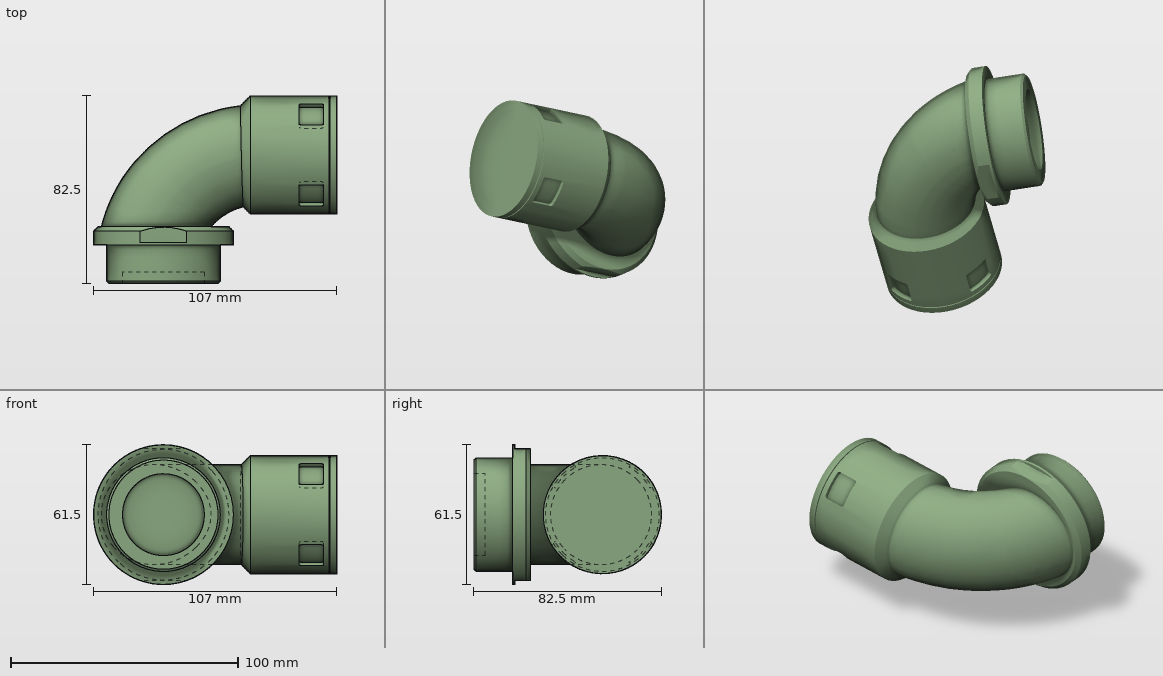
import cadquery as cq


spigot_diameter = 50.0
spigot_length = 17.0
spigot_chamfer = 1.0
bore_diameter = 36.0
bore_depth = 5.0

flange_diameter = 61.5
flange_thickness = 8.0
flange_chamfer = 2.0
flat_distance = 29.0
rim_thickness = 1.0
flange_top = spigot_length + flange_thickness

socket_radius = 26.0
socket_axis_y = 56.5
socket_end_x = 76.25
socket_length = 38.0
socket_start_x = socket_end_x - socket_length
cone_small_radius = 20.0
cone_length = socket_radius - cone_small_radius

groove_depth = 1.0
groove_width = 0.5
groove_to_end = 3.5
groove_start_x = socket_end_x - groove_to_end

window_count = 4
window_first_angle = 45.0
window_length = 10.75
window_width = 13.0
window_corner_radius = 1.0
window_floor_radius = 24.0
window_center_x = 65.0

tube_radius = 22.0
bend_radius = 49.0
bend_center_x = 41.5
bend_center_y = socket_axis_y - bend_radius
tube_start_y = spigot_length + flange_thickness / 2
trim_diameter = 4 * bend_radius


def disc_along_y(diameter, start_y, length):
    """Round disc on the spigot axis, growing toward +Y from start_y."""
    plane = cq.Plane(origin=(0, start_y, 0), xDir=(1, 0, 0), normal=(0, 1, 0))
    return cq.Workplane(plane).circle(diameter / 2).extrude(length)


def disc_along_x(radius, start_x, length):
    """Round disc on the socket axis, growing toward +X from start_x."""
    return cq.Workplane("YZ", origin=(start_x, socket_axis_y, 0)).circle(radius).extrude(length)


def make_spigot():
    return disc_along_y(spigot_diameter, 0, spigot_length).faces("<Y").chamfer(spigot_chamfer)


def make_flange():
    """Chamfered disc with a flat on its +Z and -Z sides."""
    flange = disc_along_y(flange_diameter, spigot_length, flange_thickness)
    flange = flange.faces(">Y").chamfer(flange_chamfer)
    rim = disc_along_y(flange_diameter, spigot_length, rim_thickness)
    between_flats = cq.Workplane("XY").box(flange_diameter, 2 * flange_top, 2 * flat_distance)
    return flange.intersect(between_flats).union(rim)


def make_tube():
    """Quarter torus, tangent to the socket axis and cut off inside the flange."""
    quarter = (
        cq.Workplane("XZ", origin=(bend_center_x - bend_radius, bend_center_y, 0))
        .circle(tube_radius)
        .revolve(90, (bend_radius, 1, 0), (bend_radius, 0, 0))
    )
    return quarter.cut(disc_along_y(trim_diameter, 0, tube_start_y))


def make_socket():
    """Cylinder with a 45 degree cone leading down to the tube."""
    cone_start_x = socket_start_x - cone_length
    profile = (
        cq.Workplane("XY", origin=(0, socket_axis_y, 0))
        .moveTo(cone_start_x, 0)
        .lineTo(cone_start_x, cone_small_radius)
        .lineTo(socket_start_x, socket_radius)
        .lineTo(socket_end_x, socket_radius)
        .lineTo(socket_end_x, 0)
        .close()
    )
    return profile.revolve(360, (0, 0, 0), (1, 0, 0))


def make_groove():
    ring = disc_along_x(socket_radius, groove_start_x, groove_width)
    return ring.cut(disc_along_x(socket_radius - groove_depth, groove_start_x, groove_width))


def make_windows():
    """Cutters for the shallow windows, whose floors follow a smaller cylinder."""
    block = (
        cq.Workplane("XY", origin=(window_center_x, socket_axis_y, 0))
        .rect(window_length, window_width)
        .extrude(2 * socket_radius)
        .edges("|Z")
        .fillet(window_corner_radius)
    )
    axis_start = (0, socket_axis_y, 0)
    axis_end = (1, socket_axis_y, 0)
    windows = cq.Workplane("XY")
    for index in range(window_count):
        angle = window_first_angle + index * 360 / window_count
        windows = windows.union(block.rotate(axis_start, axis_end, angle))
    return windows.cut(disc_along_x(window_floor_radius, 0, socket_end_x))


body = make_spigot().union(make_flange()).union(make_tube()).union(make_socket())
body = body.cut(disc_along_y(bore_diameter, 0, bore_depth))
result = body.cut(make_groove()).cut(make_windows())